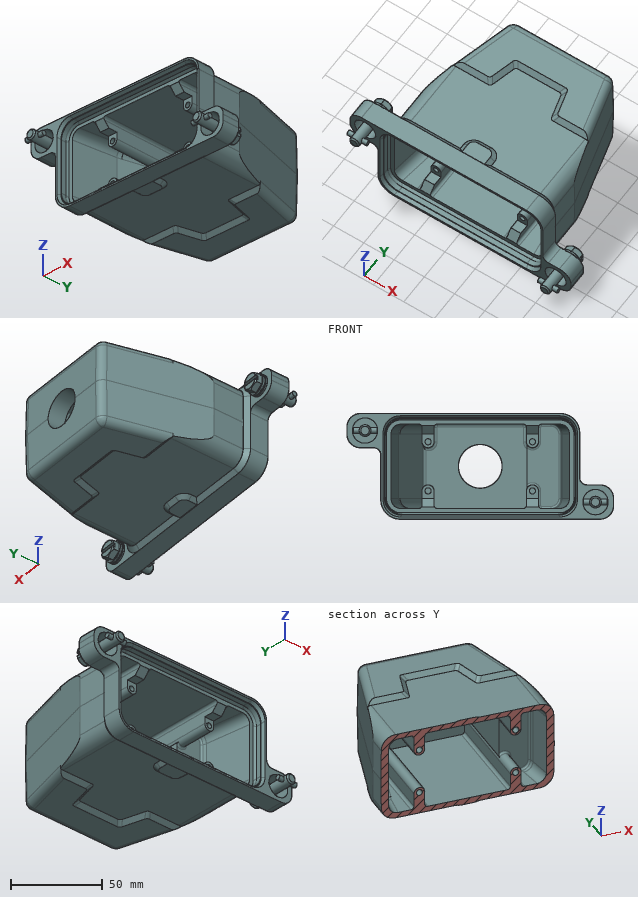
import cadquery as cq
import math


hood_height = 100.9
half_depth = 28.98
wall_half_width = 51.5
kink_height = 35.3
wall_lean = 15
lean_slope = math.tan(math.radians(wall_lean))
parting_draft = 1
rear_corner_radius = 5.1
rear_edge_radius = 4.7
lower_half_depth = 26.4
lower_corner_radius = 8.5

step_height = 58.5
tab_height = 76.2
tab_half_width = 15.2
step_corner_radius = 3.2
step_rise = half_depth - lower_half_depth
step_spread = 2.9

flange_height = 12.19
flange_half_width = 54.5
flange_corner_radius = 10.8
ear_reach = 73
ear_width = 18.9
ear_corner_radius = 7.6
ear_neck_radius = 3.8
skirt_rise = 2.8
boss_half_width = 10.2
boss_top = 24.8
boss_corner_radius = 6.5
boss_bevel = 2.8
boss_rise = 2.3

rim_depth = 2.3
seal_depth = 5.7
ledge_depth = 7.6
mouth_half_size = (53.1, 27.67)
rim_half_size = (52.4, 26.7)
seal_half_size = (52.0, 26.3)
ledge_half_size = (51.2, 25.33)
mouth_corner_radius = 9.5
ledge_corner_radius = 7.6
cavity_half_width = 48.8
cavity_half_depth = 23.0
cavity_corner_radius = 5.4
bend_half_width = 44.7
bend_height = 38.4
shelf_height = 41.5
shelf_edge_radius = 1.2
deep_right = 25.7
deep_height = 89.4
deep_edge_radius = 1.6
cable_hole_radius = 11.9

rib_x = 28.55
rib_screw_z = 13.5
rib_radius = 3.28
rib_height = 18.2
rib_root_radius = 1.8
foot_height = 12.0
foot_top_z = 17.7
foot_toe_z = 22.3
screw_hole_radius = 1.68
screw_hole_depth = 11.7

bolt_x = 63.0
bolt_z = 19.5
bore_radius = 6.94
bore_depth = 9.2
shank_radius = 3.2
bolt_tip = 11.1
tip_chamfer = 0.9
cross_pin_radius = 1.6
cross_pin_length = 12.8
cross_pin_drop = 6.7
washer_radius = 6.4
washer_neck_radius = 5.5
lower_washer_thickness = 0.95
washer_gap = 0.7
upper_washer_thickness = 1.3
head_flats = 10.2
head_height = 4.4
head_chamfer = 1.0
slot_width = 2.0
slot_depth = 1.8

BOTH_SIDES = (1, -1)


def plane_at(y):
    """Plane across the Y axis: local x is X, local y is -Z, and extrusion goes towards +Y."""
    return cq.Workplane(cq.Plane(origin=(0, y, 0), xDir=(1, 0, 0), normal=(0, 1, 0)))


def cylinder(x, z, radius, y_start, y_end):
    return plane_at(y_start).center(x, -z).circle(radius).extrude(y_end - y_start)


def rounded_frustum(y_start, half_start, radius_start, y_end, half_end, radius_end):
    """Block along Y whose rounded rectangle changes size between its two ends."""
    start = cq.Sketch().rect(2 * half_start[0], 2 * half_start[1]).vertices().fillet(radius_start)
    end = cq.Sketch().rect(2 * half_end[0], 2 * half_end[1]).vertices().fillet(radius_end)
    lift = cq.Location(cq.Vector(0, 0, y_end - y_start))
    return plane_at(y_start).placeSketch(start, end.moved(lift)).loft()


def both_depths(half):
    return half.union(half.mirror("XY"))


def profile_half():
    """Upper half (Z > 0) of the leaning outline, drafted away from the parting plane."""
    top_half_width = wall_half_width - (hood_height - kink_height) * lean_slope
    outline = [
        (-wall_half_width, 0),
        (wall_half_width, 0),
        (wall_half_width, kink_height),
        (top_half_width, hood_height),
        (-top_half_width, hood_height),
        (-wall_half_width, kink_height),
    ]
    return cq.Workplane("XY").polyline(outline).close().extrude(half_depth, taper=parting_draft)


def step_outline(spread):
    """Border of the lowered area, moved outwards by spread. It runs around a central tab."""
    shift = spread / math.cos(math.radians(wall_lean)) - spread * lean_slope
    tab_x = tab_half_width + shift
    foot_x = tab_x + (tab_height - step_height) * lean_slope
    return [
        (-ear_reach, 0),
        (ear_reach, 0),
        (ear_reach, step_height + spread),
        (foot_x, step_height + spread),
        (tab_x, tab_height + spread),
        (-tab_x, tab_height + spread),
        (-foot_x, step_height + spread),
        (-ear_reach, step_height + spread),
    ]


def step_cutter():
    cutter = (
        cq.Workplane("XY", origin=(0, 0, lower_half_depth))
        .polyline(step_outline(0)).close()
        .workplane(offset=step_rise)
        .polyline(step_outline(step_spread)).close()
        .loft(ruled=True)
    )
    corner_reach = tab_half_width + (tab_height - step_height) * lean_slope + step_spread
    tab_box = cq.selectors.BoxSelector(
        (-corner_reach, step_height, lower_half_depth),
        (corner_reach, hood_height, half_depth),
    )
    return cutter.edges("not(#Z)").edges(tab_box).fillet(step_corner_radius)


def rear_part():
    half = profile_half()
    half = half.faces(">Y").edges("not(#Z)").fillet(rear_corner_radius)
    half = half.faces(">Z").edges(">Y").fillet(rear_edge_radius)
    half = half.cut(step_cutter())
    keep = cq.Workplane("XY").box(2 * ear_reach, hood_height, half_depth, centered=(True, False, False))
    return both_depths(half.intersect(keep.translate((0, step_height, 0))))


def lower_part():
    """Straight drafted walls with round edges, trimmed to the leaning outline."""
    half = (
        cq.Workplane("XY")
        .rect(2 * wall_half_width, 4 * step_height)
        .extrude(lower_half_depth, taper=parting_draft)
    )
    half = half.faces(">Z").edges("<X or >X").fillet(lower_corner_radius)
    keep = cq.Workplane("XY").box(2 * ear_reach, step_height, half_depth, centered=(True, False, False))
    return both_depths(half.intersect(profile_half()).intersect(keep))


def flange():
    ear_edge = half_depth - ear_width
    outline = [
        (-ear_reach, -half_depth),
        (flange_half_width, -half_depth),
        (flange_half_width, ear_edge),
        (ear_reach, ear_edge),
        (ear_reach, half_depth),
        (-flange_half_width, half_depth),
        (-flange_half_width, -ear_edge),
        (-ear_reach, -ear_edge),
    ]
    plate = plane_at(0).polyline(outline).close().extrude(flange_height)
    plate = plate.edges("|Y").edges("<X or >X").fillet(ear_corner_radius)
    middle = flange_height / 2
    for side in BOTH_SIDES:
        corner = (side * flange_half_width, middle, side * half_depth)
        neck = (side * flange_half_width, middle, -side * ear_edge)
        plate = plate.edges(cq.NearestToPointSelector(corner)).fillet(flange_corner_radius)
        plate = plate.edges(cq.NearestToPointSelector(neck)).fillet(ear_neck_radius)
    return plate


def skirt():
    return rounded_frustum(
        flange_height, (flange_half_width, half_depth), flange_corner_radius,
        flange_height + skirt_rise, (wall_half_width, lower_half_depth), lower_corner_radius,
    )


def latch_bosses():
    base = (
        cq.Sketch()
        .push([(0, boss_top / 2)])
        .rect(2 * boss_half_width, boss_top)
        .reset()
        .vertices(">Y")
        .fillet(boss_corner_radius)
    )
    crown = (
        cq.Sketch()
        .push([(0, (boss_top - boss_bevel) / 2)])
        .rect(2 * (boss_half_width - boss_bevel), boss_top - boss_bevel)
        .reset()
        .vertices(">Y")
        .fillet(boss_corner_radius - boss_bevel)
    )
    boss = (
        cq.Workplane("XY", origin=(0, 0, lower_half_depth))
        .placeSketch(base, crown.moved(cq.Location(cq.Vector(0, 0, boss_rise))))
        .loft()
    )
    return boss.union(boss.mirror("XY"))


def mouth():
    rim = rounded_frustum(
        0, mouth_half_size, mouth_corner_radius, rim_depth, rim_half_size, mouth_corner_radius
    )
    seal_seat = rounded_frustum(
        rim_depth, seal_half_size, mouth_corner_radius, seal_depth, seal_half_size, mouth_corner_radius
    )
    recess = rounded_frustum(
        seal_depth, seal_half_size, mouth_corner_radius, ledge_depth, ledge_half_size, ledge_corner_radius
    )
    return rim.union(seal_seat).union(recess)


def cavity_half_size(y):
    """Half size of the cavity at and beyond the bend, where its end walls lean inwards."""
    return (bend_half_width - (y - bend_height) * lean_slope, cavity_half_depth)


def wide_cavity():
    """Pocket from the ledge to the shelf on the +X side."""
    drafted = rounded_frustum(
        ledge_depth, (cavity_half_width, cavity_half_depth), cavity_corner_radius,
        bend_height, cavity_half_size(bend_height), cavity_corner_radius,
    )
    leaning = rounded_frustum(
        bend_height, cavity_half_size(bend_height), cavity_corner_radius,
        shelf_height, cavity_half_size(shelf_height), cavity_corner_radius,
    )
    return drafted.union(leaning)


def deep_cavity():
    """Pocket on from the bend: its -X wall leans like the outside, its +X wall is straight."""
    outline = [
        (-bend_half_width, bend_height),
        (deep_right, bend_height),
        (deep_right, deep_height),
        (-cavity_half_size(deep_height)[0], deep_height),
    ]
    pocket = (
        cq.Workplane("XY", origin=(0, 0, -cavity_half_depth))
        .polyline(outline).close()
        .extrude(2 * cavity_half_depth)
    )
    return pocket.faces("<X").edges("not(|Z)").fillet(cavity_corner_radius)


def rib_section(x, side):
    """Cross-section of a rib: a round nose, straight flanks and round roots at the Z wall."""
    diagonal = rib_root_radius * math.sin(math.radians(45))
    root_x = rib_radius + rib_root_radius
    root_z = cavity_half_depth - rib_root_radius
    buried = (cavity_half_depth + lower_half_depth) / 2
    return (
        plane_at(ledge_depth).center(x, 0)
        .moveTo(-root_x, -side * buried)
        .lineTo(-root_x, -side * cavity_half_depth)
        .threePointArc((diagonal - root_x, -side * (root_z + diagonal)), (-rib_radius, -side * root_z))
        .lineTo(-rib_radius, -side * rib_screw_z)
        .threePointArc((0, -side * (rib_screw_z - rib_radius)), (rib_radius, -side * rib_screw_z))
        .lineTo(rib_radius, -side * root_z)
        .threePointArc((root_x - diagonal, -side * (root_z + diagonal)), (root_x, -side * cavity_half_depth))
        .lineTo(root_x, -side * buried)
        .close()
    )


def screw_rib(x, side):
    """Rib along the Z wall on the given side, cut back to a screw face above a sloping foot."""
    rib_end = deep_height + deep_edge_radius
    outline = [
        (ledge_depth, side * half_depth),
        (ledge_depth, side * foot_toe_z),
        (foot_height, side * foot_top_z),
        (rib_height, side * foot_top_z),
        (rib_height, 0),
        (rib_end, 0),
        (rib_end, side * half_depth),
    ]
    profile = (
        cq.Workplane("YZ", origin=(x, 0, 0))
        .polyline(outline).close()
        .extrude(2 * rib_radius, both=True)
    )
    return rib_section(x, side).extrude(rib_end - ledge_depth).intersect(profile)


def cavity():
    """Whole space behind the ledge, without the ribs, rounded at the shelf and along its back wall."""
    space = wide_cavity().union(deep_cavity())
    for x in (-rib_x, rib_x):
        for side in BOTH_SIDES:
            space = space.cut(screw_rib(x, side))
    shelf_edge = (cavity_half_size(shelf_height)[0], shelf_height, 0)
    upper_edge = (0, deep_height, cavity_half_depth)
    leaning_edge = (-cavity_half_size(deep_height)[0], deep_height, 0)
    space = space.edges(cq.NearestToPointSelector(shelf_edge)).fillet(shelf_edge_radius)
    back = space.edges(cq.NearestToPointSelector(upper_edge))
    back = back.add(space.edges(cq.NearestToPointSelector(leaning_edge)))
    return back.fillet(deep_edge_radius)


def screw_hole(x, z):
    return cylinder(x, z, screw_hole_radius, rib_height, rib_height + screw_hole_depth)


def bolt_bore(x, z):
    shank_hole = cylinder(x, z, shank_radius, 0, flange_height)
    return shank_hole.union(cylinder(x, z, bore_radius, 0, bore_depth))


bolt_places = [(-bolt_x, bolt_z), (bolt_x, -bolt_z)]


def make_hood():
    body = rear_part().union(lower_part()).union(flange()).union(skirt()).union(latch_bosses())
    body = body.cut(mouth()).cut(cavity())
    body = body.cut(cylinder(0, 0, cable_hole_radius, 0, hood_height + 1.5))
    for x in (-rib_x, rib_x):
        for side in BOTH_SIDES:
            body = body.cut(screw_hole(x, side * rib_screw_z))
    for x, z in bolt_places:
        body = body.cut(bolt_bore(x, z))
    return body


def bolt_head(x, z, seat):
    across_corners = head_flats / math.cos(math.radians(30))
    hexagon = (
        plane_at(seat).center(x, -z)
        .transformed(rotate=(0, 0, 90))
        .polygon(6, across_corners)
        .extrude(head_height)
    )
    turned = cylinder(x, z, across_corners / 2, seat, seat + head_height)
    head = hexagon.intersect(turned.faces(">Y").chamfer(head_chamfer))
    slot = cq.Workplane("XY").box(across_corners, 2 * slot_depth, slot_width)
    return head.cut(slot.translate((x, seat + head_height, z)))


def make_bolt(x, z):
    """Slotted hexagon bolt with washers, its shank ending in a cross pin below the mouth."""
    neck_start = flange_height + lower_washer_thickness
    neck_end = neck_start + washer_gap
    head_seat = neck_end + upper_washer_thickness
    bolt = cylinder(x, z, shank_radius, -bolt_tip, head_seat).faces("<Y").chamfer(tip_chamfer)
    bolt = bolt.union(cylinder(x, z, washer_radius, flange_height, neck_start))
    bolt = bolt.union(cylinder(x, z, washer_neck_radius, neck_start, neck_end))
    bolt = bolt.union(cylinder(x, z, washer_radius, neck_end, head_seat))
    bolt = bolt.union(bolt_head(x, z, head_seat))
    cross_pin = (
        cq.Workplane("YZ", origin=(x, -cross_pin_drop, z))
        .circle(cross_pin_radius)
        .extrude(cross_pin_length / 2, both=True)
    )
    return bolt.union(cross_pin)


hood = make_hood()
bolts = [make_bolt(x, z).val() for x, z in bolt_places]

result = cq.Compound.makeCompound([hood.val(), *bolts])